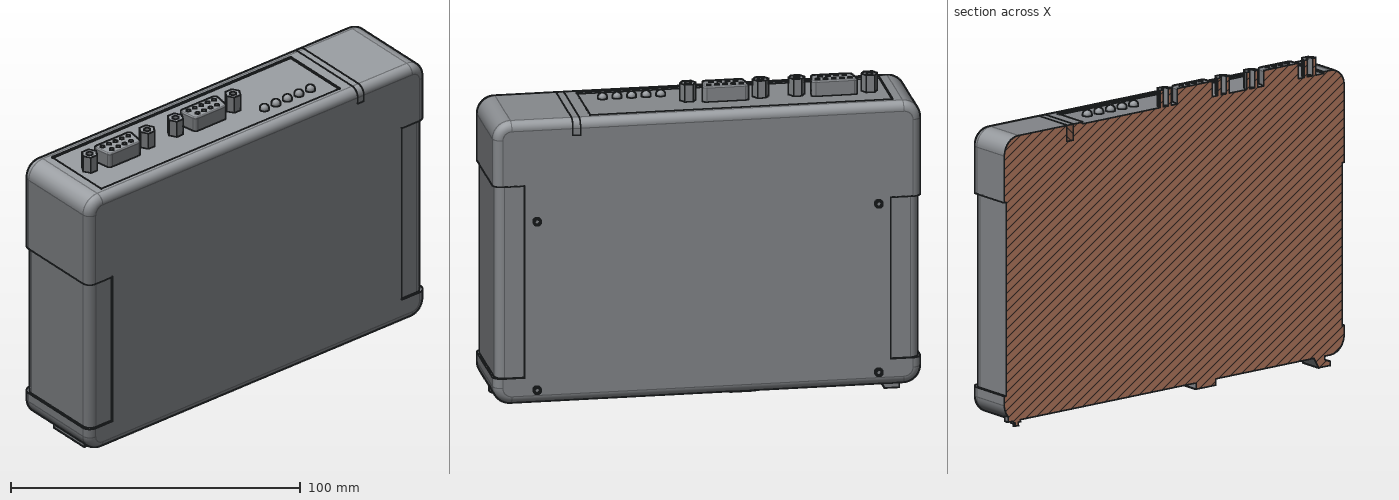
import cadquery as cq
CASE_WIDTH = 36.0
CASE_LENGTH = 150.0
CASE_HEIGHT = 101.8
CORNER_RADIUS = 6.3
EDGE_RADIUS = 3.1

GRIP_DEPTH = 0.7
GRIP_REACH = 10.8
GRIP_BOTTOM = 9.6
REAR_GRIP_TOP = 78.7
FRONT_GRIP_TOP = 67.8

PANEL_WIDTH = 27.1
PANEL_Y_MIN = -65.7
PANEL_Y_MAX = 40.3
PANEL_DEPTH = 0.6
PANEL_FLOOR = CASE_HEIGHT - PANEL_DEPTH

LAMP_COUNT = 5
LAMP_RADIUS = 1.6
LAMP_CENTRE_Z = CASE_HEIGHT - 0.3
LAMP_PITCH = 5.1
LAMP_X = 7.0
FIRST_LAMP_Y = 32.4

CONNECTOR_YS = (-9.0, -47.1)
STANDOFF_SPACING = 25.5
STANDOFF_ACROSS_FLATS = 5.0
STANDOFF_BORE = 2.2
STANDOFF_TOP = CASE_HEIGHT + 5.5
SHELL_WIDTH = 7.6
SHELL_LONG_SIDE = 16.6
SHELL_SHORT_SIDE = 14.1
SHELL_CORNER_RADIUS = 1.3
SHELL_RIM_RADIUS = 0.5
SHELL_TOP = CASE_HEIGHT + 5.0
SOCKET_DIAMETER = 1.5
SOCKET_DEPTH = 3.0
SOCKET_PITCH = 2.8
SOCKET_ROW_SPACING = 3.3
LONG_ROW_COUNT = 5

BUTTON_DIAMETER = 2.7
BUTTON_HEIGHT = 0.9
BUTTON_SOCKET_DIAMETER = 1.8
BUTTON_SOCKET_DEPTH = 0.5
BUTTON_Y = 59.8
BUTTON_ZS = (5.1, 65.8)

FOOT_X_MIN = -8.7
BLOCK_X_MAX = 9.0
BLOCK_Y_MIN = -18.3
BLOCK_Y_MAX = -9.6
BLOCK_DROP = 2.2
HOOK_X_MAX = 8.1
HOOK_DROP = 3.7
HOOK_ROOT_Y = -61.5
HOOK_HEEL_Y = -63.6
HOOK_THROAT_Y = -66.5
HOOK_TIP_Y = -68.8
HOOK_THROAT_DROP = 1.2
HOOK_TIP_DROP = 2.2

STUD_Y = 69.5
STUD_TOP = 3.0
STUD_STEPS = ((3.9, 0.0), (1.8, -0.7), (0.9, -2.0))

STRIP_LENGTH = 2.7
STRIP_Y = 45.9
STRIP_HEIGHT = 5.7


def rounded_block(inset):
    """The case outline, drawn in by `inset` on its sides and ends."""
    return (
        cq.Workplane("XY")
        .box(CASE_WIDTH - 2 * inset, CASE_LENGTH - 2 * inset, CASE_HEIGHT, centered=(True, True, False))
        .edges("|X")
        .fillet(CORNER_RADIUS)
        .faces("<X or >X")
        .edges()
        .fillet(EDGE_RADIUS)
    )


def grip_recess(end, top):
    """The skin to remove at one end of the case; `end` is +1 for +Y and -1 for -Y."""
    zone = (
        cq.Workplane("XY", origin=(0, end * (CASE_LENGTH - GRIP_REACH) / 2, GRIP_BOTTOM))
        .box(CASE_WIDTH, GRIP_REACH, top - GRIP_BOTTOM, centered=(True, True, False))
    )
    return zone.cut(rounded_block(GRIP_DEPTH))


def panel_recess():
    return (
        cq.Workplane("XY", origin=(0, (PANEL_Y_MIN + PANEL_Y_MAX) / 2, PANEL_FLOOR))
        .box(PANEL_WIDTH, PANEL_Y_MAX - PANEL_Y_MIN, PANEL_DEPTH, centered=(True, True, False))
    )


def lamp(y):
    """Round lamp: a short cylinder standing on the panel, closed by a dome."""
    dome = cq.Workplane("XY", origin=(LAMP_X, y, LAMP_CENTRE_Z)).sphere(LAMP_RADIUS)
    base = (
        cq.Workplane("XY", origin=(LAMP_X, y, PANEL_FLOOR))
        .circle(LAMP_RADIUS)
        .extrude(LAMP_CENTRE_Z - PANEL_FLOOR)
    )
    return base.union(dome)


def standoff(y):
    """Hexagonal post with its corners on the Y axis and an open bore."""
    return (
        cq.Workplane("XY", origin=(0, y, PANEL_FLOOR))
        .polygon(6, STANDOFF_ACROSS_FLATS, circumscribed=True)
        .circle(STANDOFF_BORE / 2)
        .extrude(STANDOFF_TOP - PANEL_FLOOR)
    )


def connector_shell(y):
    """D-shaped block, long side towards -X, with two rows of contact sockets."""
    half_width = SHELL_WIDTH / 2
    half_long = SHELL_LONG_SIDE / 2
    half_short = SHELL_SHORT_SIDE / 2
    shell = (
        cq.Workplane("XY", origin=(0, y, PANEL_FLOOR))
        .polyline([
            (-half_width, -half_long),
            (half_width, -half_short),
            (half_width, half_short),
            (-half_width, half_long),
        ])
        .close()
        .extrude(SHELL_TOP - PANEL_FLOOR)
        .edges("|Z")
        .fillet(SHELL_CORNER_RADIUS)
        .faces(">Z")
        .edges()
        .fillet(SHELL_RIM_RADIUS)
    )
    sockets = (
        cq.Workplane("XY", origin=(0, y, SHELL_TOP - SOCKET_DEPTH))
        .pushPoints(socket_centres())
        .circle(SOCKET_DIAMETER / 2)
        .extrude(SOCKET_DEPTH)
    )
    return shell.cut(sockets)


def socket_centres():
    """A long row towards -X and a row of one fewer, staggered by half a pitch, towards +X."""
    rows = ((-SOCKET_ROW_SPACING / 2, LONG_ROW_COUNT), (SOCKET_ROW_SPACING / 2, LONG_ROW_COUNT - 1))
    return [
        (x, (index - (count - 1) / 2) * SOCKET_PITCH)
        for x, count in rows
        for index in range(count)
    ]


def buttons():
    """Four discs near the corners of the -X side, each with a shallow round socket in its face."""
    centres = [(y, z) for y in (-BUTTON_Y, BUTTON_Y) for z in BUTTON_ZS]
    discs = (
        cq.Workplane("YZ", origin=(-CASE_WIDTH / 2, 0, 0))
        .pushPoints(centres)
        .circle(BUTTON_DIAMETER / 2)
        .extrude(-BUTTON_HEIGHT)
    )
    sockets = (
        cq.Workplane("YZ", origin=(-CASE_WIDTH / 2 - BUTTON_HEIGHT, 0, 0))
        .pushPoints(centres)
        .circle(BUTTON_SOCKET_DIAMETER / 2)
        .extrude(BUTTON_SOCKET_DEPTH)
    )
    return discs.cut(sockets)


def mounting_block():
    return (
        cq.Workplane("YZ", origin=(FOOT_X_MIN, 0, 0))
        .polyline([
            (BLOCK_Y_MIN, 0),
            (BLOCK_Y_MIN, -BLOCK_DROP),
            (BLOCK_Y_MAX, -BLOCK_DROP),
            (BLOCK_Y_MAX, 0),
        ])
        .close()
        .extrude(BLOCK_X_MAX - FOOT_X_MIN)
    )


def mounting_hook():
    """Foot whose toe points towards -Y, clear of the case underside."""
    return (
        cq.Workplane("YZ", origin=(FOOT_X_MIN, 0, 0))
        .polyline([
            (HOOK_ROOT_Y, 0),
            (HOOK_HEEL_Y, -HOOK_DROP),
            (HOOK_TIP_Y, -HOOK_DROP),
            (HOOK_TIP_Y, -HOOK_TIP_DROP),
            (HOOK_THROAT_Y, -HOOK_THROAT_DROP),
            (HOOK_THROAT_Y, 0),
        ])
        .close()
        .extrude(HOOK_X_MAX - FOOT_X_MIN)
    )


def stud():
    steps = cq.Workplane("XY")
    for radius, bottom in STUD_STEPS:
        step = cq.Workplane("XY", origin=(0, STUD_Y, bottom)).circle(radius).extrude(STUD_TOP - bottom)
        steps = steps.union(step)
    return steps


def strip_slot():
    """Bar-shaped space across the top of the case that the strip fills."""
    return (
        cq.Workplane("XY", origin=(0, STRIP_Y, CASE_HEIGHT - STRIP_HEIGHT))
        .box(CASE_WIDTH, STRIP_LENGTH, STRIP_HEIGHT, centered=(True, True, False))
    )


def make_housing():
    body = rounded_block(0).cut(strip_slot()).cut(panel_recess())
    body = body.cut(grip_recess(1, REAR_GRIP_TOP)).cut(grip_recess(-1, FRONT_GRIP_TOP))
    for index in range(LAMP_COUNT):
        body = body.union(lamp(FIRST_LAMP_Y - index * LAMP_PITCH))
    for y in CONNECTOR_YS:
        body = body.union(connector_shell(y))
        for side in (-1, 1):
            body = body.union(standoff(y + side * STANDOFF_SPACING / 2))
    for attachment in (buttons(), mounting_block(), mounting_hook(), stud()):
        body = body.union(attachment)
    return body


def make_strip():
    """Flush strip that follows the rounded section of the case."""
    return rounded_block(0).intersect(strip_slot())


housing = make_housing()
strip = make_strip()
result = cq.Compound.makeCompound([housing.val(), strip.val()])